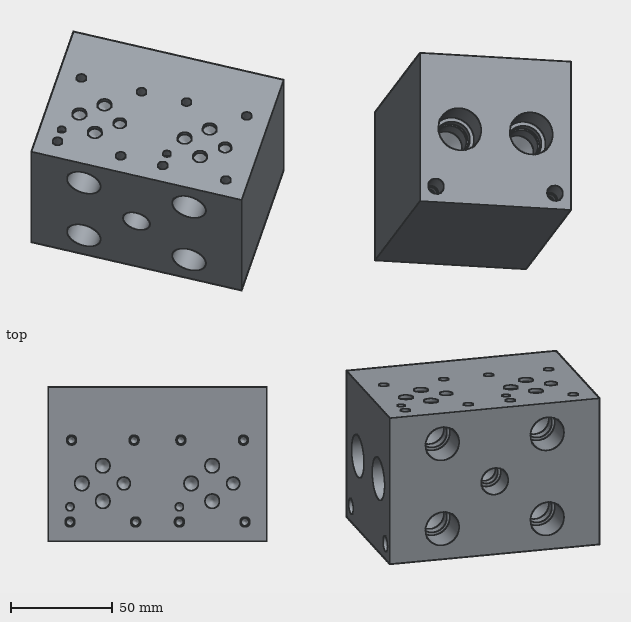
import cadquery as cq
import math

LENGTH = 108.0
WIDTH = 76.2
HEIGHT = 76.2

POINT_ANGLE = 118.0

WORK_PORT = ([(17.3, 16.2)], [(14.2, 21.6)])
GAUGE_PORT = ([(13.8, 13.0)], [(10.7, 17.3)])
MAIN_PORT = ([(21.6, 17.3)], [(17.5, 21.6), (15.9, 32.4)])
MOUNTING_HOLE = ([(7.9, 13.0)], [(6.5, 17.3)])
VALVE_BOLT_HOLE = ([(4.9, 9.7)], [(3.8, 13.0)])
LOCATING_PIN_HOLE = ([], [(4.0, 4.3)])
VALVE_PORT = ([], [(7.1, 1.9)])
SMALL_VALVE_PORT = ([], [(6.4, 1.9)])

STATION_X = 27.0
STATION_Y = -9.5

VALVE_PORT_DX = 10.4
VALVE_PORT_DY = 8.7
REAR_BOLT_DX = 15.4
REAR_BOLT_DY = 21.4
FRONT_BOLT_DX = 16.2
FRONT_BOLT_DY = -19.0
PIN_DY = -11.5

WORK_PORT_Z = 22.1
MAIN_PORT_Y = 18.0
MOUNTING_HOLE_Y = 30.0
MOUNTING_HOLE_Z = -30.0

INTO_FRONT = cq.Vector(0, 1, 0)
INTO_LEFT = cq.Vector(1, 0, 0)
INTO_TOP = cq.Vector(0, 0, -1)


def make_hole(kind, mouth, direction):
    """Solid that a hole removes, starting at the point `mouth` and running along `direction`."""
    bores, drillings = kind
    start = cq.Vector(*mouth)
    hole = cq.Workplane("XY")
    for diameter, depth in bores + drillings:
        hole = hole.add(cq.Solid.makeCylinder(diameter / 2, depth, start, direction))
    for diameter, depth in drillings:
        point_length = diameter / 2 / math.tan(math.radians(POINT_ANGLE / 2))
        point_start = start + direction * depth
        hole = hole.add(cq.Solid.makeCone(diameter / 2, 0, point_length, point_start, direction))
    return hole.combine()


def front_hole(kind, x, z):
    return make_hole(kind, (x, -WIDTH / 2, z), INTO_FRONT)


def left_hole(kind, y, z):
    return make_hole(kind, (-LENGTH / 2, y, z), INTO_LEFT)


def valve_station_holes(center_x):
    """All holes in the top face that belong to one valve."""
    layout = [
        (VALVE_PORT, 0, VALVE_PORT_DY),
        (VALVE_PORT, 0, -VALVE_PORT_DY),
        (VALVE_PORT, -VALVE_PORT_DX, 0),
        (SMALL_VALVE_PORT, VALVE_PORT_DX, 0),
        (LOCATING_PIN_HOLE, -FRONT_BOLT_DX, PIN_DY),
    ]
    for side in (-1, 1):
        layout.append((VALVE_BOLT_HOLE, side * REAR_BOLT_DX, REAR_BOLT_DY))
        layout.append((VALVE_BOLT_HOLE, side * FRONT_BOLT_DX, FRONT_BOLT_DY))
    return [
        make_hole(kind, (center_x + dx, STATION_Y + dy, HEIGHT / 2), INTO_TOP)
        for kind, dx, dy in layout
    ]


holes = [front_hole(GAUGE_PORT, 0, 0)]
for side in (-1, 1):
    holes.append(front_hole(WORK_PORT, side * STATION_X, WORK_PORT_Z))
    holes.append(front_hole(WORK_PORT, side * STATION_X, -WORK_PORT_Z))
    holes.append(left_hole(MAIN_PORT, side * MAIN_PORT_Y, 0))
    holes.append(left_hole(MOUNTING_HOLE, side * MOUNTING_HOLE_Y, MOUNTING_HOLE_Z))
    holes.extend(valve_station_holes(side * STATION_X))

result = cq.Workplane("XY").box(LENGTH, WIDTH, HEIGHT)
for hole in holes:
    result = result.cut(hole)